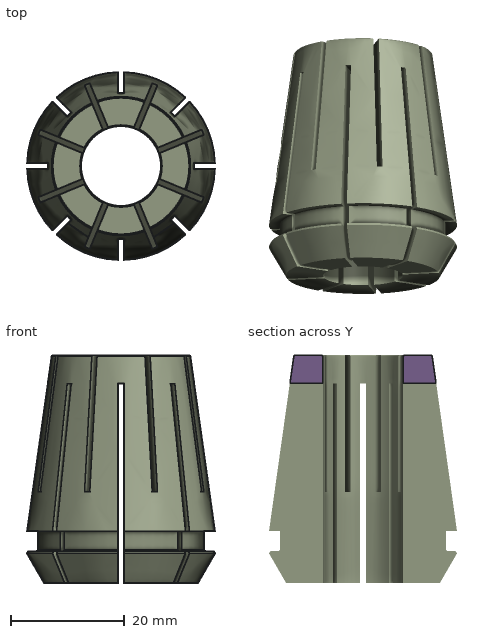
import cadquery as cq
import math

length = 40.0
max_radius = 16.5
bore_radius = 14.0 / 2
taper_angle = 8.0
end_chamfer = 0.2

groove_bottom = 5.6
groove_top = 9.1
groove_radius = 14.6
groove_chamfer = 0.2
flange_chamfer_height = 0.4
flange_chamfer_width = 0.25
nose_angle = 30.0

slot_width = 1.0
slots_per_end = 8
bottom_slot_end = 35.0
top_slot_end = 16.0

slot_spacing = 360.0 / slots_per_end
flange_edge = groove_bottom - flange_chamfer_height
nose_radius = max_radius - flange_edge * math.tan(math.radians(nose_angle))


def cone_radius(height):
    """Radius of the clamping cone at a height above the groove."""
    return max_radius - (height - groove_top) * math.tan(math.radians(taper_angle))


def collet_body():
    """Revolve the half section of the unslotted collet about Z."""
    cone_top = length - end_chamfer
    section = [
        (bore_radius, 0),
        (nose_radius, 0),
        (max_radius, flange_edge),
        (max_radius - flange_chamfer_width, groove_bottom),
        (groove_radius + groove_chamfer, groove_bottom),
        (groove_radius, groove_bottom + groove_chamfer),
        (groove_radius, groove_top),
        (max_radius, groove_top),
        (cone_radius(cone_top), cone_top),
        (cone_radius(length) - end_chamfer, length),
        (bore_radius + end_chamfer, length),
        (bore_radius, cone_top),
    ]
    profile = cq.Workplane("XZ").polyline(section).close()
    return profile.revolve(360, (0, 0), (0, 1))


def slot_ring(start, end, first_angle):
    """Radial slot cutters between two heights, evenly spaced around Z."""
    slots_per_cutter = 2
    cutters = cq.Workplane("XY")
    for index in range(slots_per_end // slots_per_cutter):
        cutter = (
            cq.Workplane("XY", origin=(0, 0, start))
            .box(2 * max_radius + slot_width, slot_width, end - start, centered=(True, True, False))
            .rotate((0, 0, 0), (0, 0, 1), first_angle + index * slot_spacing)
        )
        cutters = cutters.add(cutter)
    return cutters.combine()


bottom_slots = slot_ring(0, bottom_slot_end, 0)
top_slots = slot_ring(top_slot_end, length, slot_spacing / 2)

result = collet_body().cut(bottom_slots).cut(top_slots)